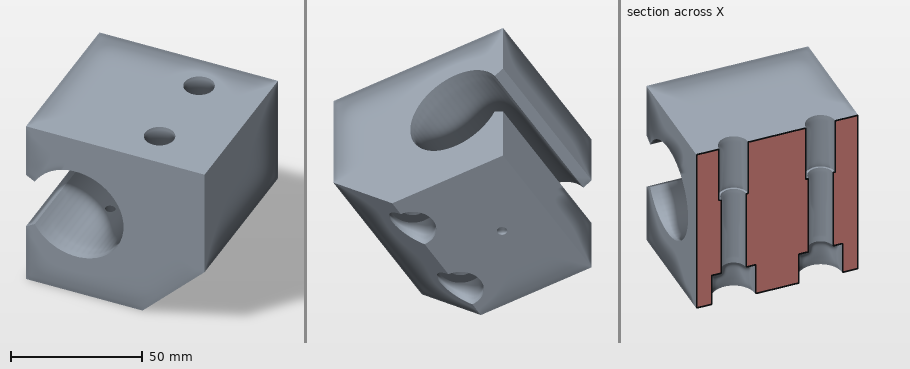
import cadquery as cq
import math

length = 75.0
width = 67.0
height = 72.0
corner_cut = 26.0

bore_diameter = 40.0
bore_x = 21.0
bore_z = 37.0
mouth_half_angle = 30.0

bolt_x = length - corner_cut
bolt_spacing = 36.0
bolt_entry_diameter = 12.0
bolt_entry_depth = 2 * bolt_entry_diameter
bolt_through_diameter = 10.3
counterbore_diameter = 18.0
counterbore_top_z = 13.5

drain_x = 20.0
drain_diameter = 4.0


def make_block():
    block = cq.Workplane("XY").box(length, width, height, centered=(False, True, False))
    return block.edges("|Y and >X and <Z").chamfer(corner_cut)


def make_bore():
    """Bore cylinder joined with the wedge that opens it to the -X side."""
    profile = cq.Workplane("XZ").center(bore_x, bore_z)
    cylinder = profile.circle(bore_diameter / 2).extrude(width / 2, both=True)
    mouth_half_height = bore_x * math.tan(math.radians(mouth_half_angle))
    wedge = (
        profile.moveTo(0, 0)
        .lineTo(-bore_x, mouth_half_height)
        .lineTo(-bore_x, -mouth_half_height)
        .close()
        .extrude(width / 2, both=True)
    )
    return cylinder.union(wedge)


def vertical_cylinder(x, y, diameter, bottom_z, top_z):
    base = cq.Workplane("XY", origin=(x, y, bottom_z))
    return base.circle(diameter / 2).extrude(top_z - bottom_z)


def make_bolt_hole(y):
    through = vertical_cylinder(bolt_x, y, bolt_through_diameter, 0, height)
    entry = vertical_cylinder(bolt_x, y, bolt_entry_diameter, height - bolt_entry_depth, height)
    counterbore = vertical_cylinder(bolt_x, y, counterbore_diameter, 0, counterbore_top_z)
    return through.union(entry).union(counterbore)


result = make_block().cut(make_bore())
for bolt_y in (-bolt_spacing / 2, bolt_spacing / 2):
    result = result.cut(make_bolt_hole(bolt_y))
result = result.cut(vertical_cylinder(drain_x, 0, drain_diameter, 0, bore_z))